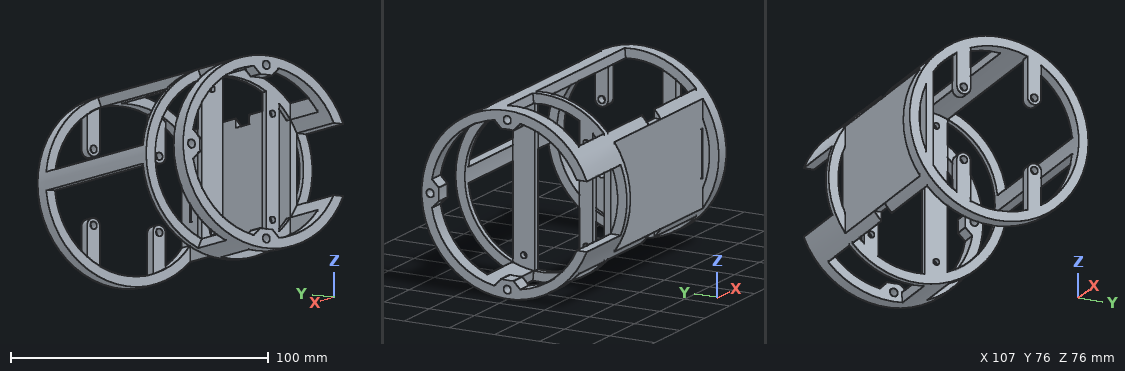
import cadquery as cq
import math

outer_radius = 38.0
inner_radius = 33.9
margin = 1.0

total_length = 107.0
front_ring_width = 7.0
middle_ring_start = 27.2
middle_ring_end = 30.0
back_ring_start = 100.9

rail_near_edge = 3.7
rail_far_edge = 14.2
near_angle = math.degrees(math.asin(rail_near_edge / outer_radius))
far_angle = math.degrees(math.asin(rail_far_edge / outer_radius))

window_half_height = rail_far_edge
panel_outer_y = -30.9
panel_thickness = 3.0
panel_inner_y = panel_outer_y + panel_thickness
panel_half_height = math.sqrt(outer_radius**2 - panel_inner_y**2)
flat_half_height = math.sqrt(outer_radius**2 - panel_outer_y**2)
notch_start = 57.6
notch_end = 67.3
panel_slot_start = 99.9
panel_slot_end = 101.0
panel_slot_height = 20.0

boss_inner_radius = 30.4
boss_tip_half_width = 2.8
boss_base_half_width = 6.1
boss_base_radius = boss_inner_radius + boss_base_half_width - boss_tip_half_width
boss_hole_diameter = 3.3
boss_hole_position = 34.2
boss_angles = (0, 90, -90)

bars = (
    (2.9, 12.6, 7.8, 28.1),
    (-22.8, -16.9, -19.8, 20.9),
)
bar_hole_diameter = 2.5

lug_pitch = 30.0
lug_diameter = 5.8
lug_hole_diameter = 3.0
lug_depth = 4.3
lug_start = total_length - lug_depth


def box(x0, x1, y0, y1, z0, z1):
    """Axis-aligned box given by its limits."""
    return cq.Workplane("XY").box(x1 - x0, y1 - y0, z1 - z0, centered=False).translate((x0, y0, z0))


def disc(x0, x1, radius):
    """Cylinder about the X axis."""
    return cq.Workplane("YZ").workplane(offset=x0).circle(radius).extrude(x1 - x0)


def tube(x0, x1, bore_radius=inner_radius):
    """Ring about the X axis."""
    return disc(x0, x1, outer_radius).cut(disc(x0 - margin, x1 + margin, bore_radius))


def rail(x0, x1, start_angle, end_angle):
    """Piece of the tube between two angles, measured from +Y towards +Z."""
    reach = 2 * outer_radius
    corners = [(0, 0)]
    for angle in (start_angle, end_angle):
        turn = math.radians(angle)
        corners.append((reach * math.cos(turn), reach * math.sin(turn)))
    wedge = cq.Workplane("YZ").workplane(offset=x0).polyline(corners).close().extrude(x1 - x0)
    return tube(x0, x1).intersect(wedge)


def make_boss():
    """Screw boss on the +Y side of the front ring: sloped flanks and a concave tip."""
    half_outline = [
        (boss_inner_radius - margin, boss_tip_half_width),
        (boss_inner_radius, boss_tip_half_width),
        (boss_base_radius, boss_base_half_width),
        (boss_hole_position, boss_base_half_width),
    ]
    mirrored_half = [(y, -z) for y, z in reversed(half_outline)]
    boss = cq.Workplane("YZ").polyline(half_outline + mirrored_half).close().extrude(front_ring_width)
    return boss.intersect(tube(0, front_ring_width, boss_inner_radius))


def make_front_ring():
    """Front ring with three drilled screw bosses."""
    ring = tube(0, front_ring_width)
    boss = make_boss()
    hole = (
        cq.Workplane("YZ")
        .center(boss_hole_position, 0)
        .circle(boss_hole_diameter / 2)
        .extrude(front_ring_width)
    )
    for angle in boss_angles:
        ring = ring.union(boss.rotate((0, 0, 0), (1, 0, 0), angle))
        ring = ring.cut(hole.rotate((0, 0, 0), (1, 0, 0), angle))
    return ring


def make_middle_ring():
    """Middle ring with two drilled upright bars across its bore."""
    ring = tube(middle_ring_start, middle_ring_end)
    envelope = disc(middle_ring_start, middle_ring_end, outer_radius)
    for y_from, y_to, hole_y, hole_z in bars:
        bar = box(middle_ring_start, middle_ring_end, y_from, y_to, -outer_radius, outer_radius)
        holes = (
            cq.Workplane("YZ")
            .workplane(offset=middle_ring_start)
            .pushPoints([(hole_y, hole_z), (hole_y, -hole_z)])
            .circle(bar_hole_diameter / 2)
            .extrude(middle_ring_end - middle_ring_start)
        )
        ring = ring.union(bar.intersect(envelope).cut(holes))
    return ring


def make_back_ring():
    """Back ring with four round-ended lugs reaching in from the top and bottom."""
    ring = tube(back_ring_start, total_length)
    envelope = disc(lug_start, total_length, outer_radius)
    plane = cq.Workplane("YZ").workplane(offset=lug_start)
    lug_radius = lug_diameter / 2
    half = lug_pitch / 2
    for y in (-half, half):
        for side in (-1, 1):
            z = side * half
            tip = plane.center(y, z).circle(lug_radius).extrude(lug_depth)
            z_limits = sorted((z, side * outer_radius))
            stem = box(lug_start, total_length, y - lug_radius, y + lug_radius, *z_limits)
            hole = plane.center(y, z).circle(lug_hole_diameter / 2).extrude(lug_depth)
            ring = ring.union(tip.union(stem).intersect(envelope).cut(hole))
    return ring


def make_panel():
    """Flat panel running through the middle and back rings, with notched edges and a slot."""
    panel = box(
        middle_ring_start, total_length,
        panel_outer_y, panel_inner_y,
        -panel_half_height, panel_half_height,
    )
    panel = panel.intersect(disc(middle_ring_start, total_length, outer_radius))
    for z0, z1 in ((flat_half_height, outer_radius), (-outer_radius, -flat_half_height)):
        panel = panel.cut(box(notch_start, notch_end, -outer_radius, 0, z0, z1))
    slot = box(
        panel_slot_start, panel_slot_end,
        -outer_radius, 0,
        -panel_slot_height / 2, panel_slot_height / 2,
    )
    return panel.cut(slot)


def make_side_rails():
    """Rails on the -Y side between the front and middle rings."""
    band = box(front_ring_width, middle_ring_start, -outer_radius, panel_inner_y, -outer_radius, outer_radius)
    return tube(front_ring_width, middle_ring_start).intersect(band)


def make_window():
    """Cutter that opens the -Y side of the front ring, up to the middle ring."""
    return box(
        -margin, middle_ring_start,
        -outer_radius - margin, 0,
        -window_half_height, window_half_height,
    )


front_section = make_front_ring().union(make_side_rails()).cut(make_window())
top_rail = rail(front_ring_width, back_ring_start, 90 - far_angle, 90 - near_angle)
bottom_rail = rail(front_ring_width, middle_ring_start, near_angle - 90, far_angle - 90)
far_side_rail = rail(middle_ring_end, back_ring_start, -near_angle, near_angle)

result = (
    front_section
    .union(make_middle_ring())
    .union(make_back_ring())
    .union(make_panel())
    .union(top_rail)
    .union(bottom_rail)
    .union(far_side_rail)
)